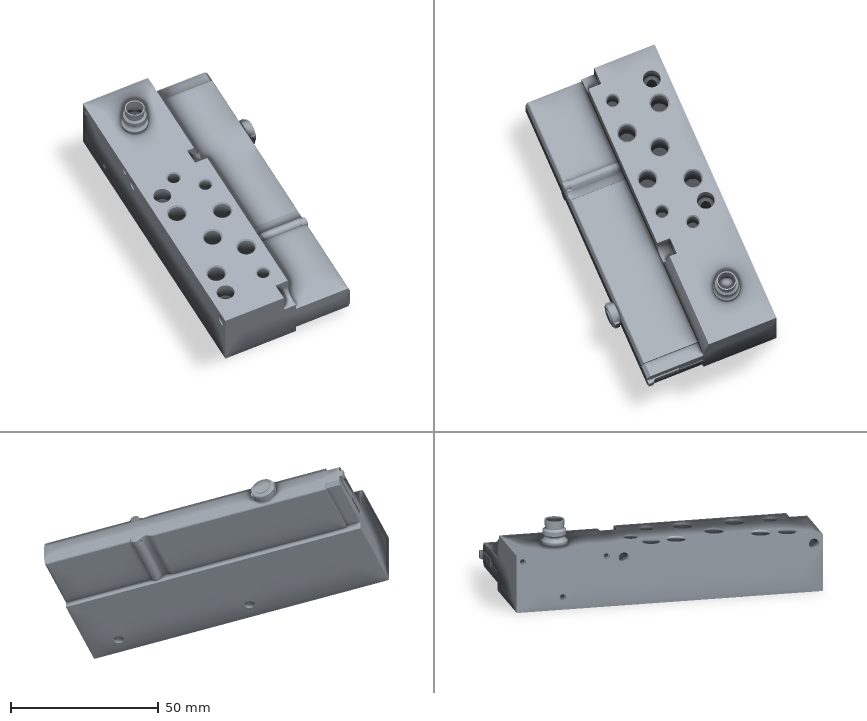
import cadquery as cq
import math


LENGTH = 107.1
DEPTH = 26.9
HEIGHT = 20.2

HOUSING_LENGTH = 34.5
HOUSING_FRONT = 6.0
HOUSING_TOP_EDGE = 24.8
HOUSING_CURVE_MIDDLE = (26.4, 15.4)
HOUSING_CURVE_BOTTOM = 10.5

PORT_CENTRE = 72.2
REAR_ROW = 21.0
MIDDLE_ROW = 12.8
FRONT_ROW = 6.7
SMALL_PORT_OFFSET = 21.7
REAR_PORT_OFFSET = 9.0
FRONT_PORT_OFFSET = 14.8
SMALL_PORT_X = 43.0
SMALL_PORT = {"bore": 4.1, "mouth": 5.0, "depth": 6.5}
LARGE_PORT = {"bore": 6.0, "mouth": 6.9, "depth": 8.7}

MOUNT_DIAMETER = 3.5
MOUNT_HEAD_DIAMETER = 6.1
MOUNT_OFFSET = 23.8
MOUNT_Y = 5.8
MOUNT_HEAD_DEPTH = 5.4
CROSS_HOLE_X = (37.4, 103.9)
CROSS_HOLE_Z = 17.0
CROSS_SLOT_DEPTH = 4.7

FASTENER_HEAD = 2.3
FASTENER_BORE = 1.5
FASTENER_HEAD_DEPTH = 0.9
FASTENER_POINTS = ((2.2, 17.9), (31.5, 17.9), (16.2, 4.5))

CONNECTOR_X = 16.1
CONNECTOR_Y = 11.6
CONNECTOR_FLANGE_TOP = 1.3
CONNECTOR_SHOULDER_TOP = 2.0
CONNECTOR_NECK_BOTTOM = 2.5
CONNECTOR_NECK_TOP = 2.8
CONNECTOR_COLLAR_BOTTOM = 3.5
CONNECTOR_COLLAR_TOP = 5.0
CONNECTOR_GROOVE_BOTTOM = 5.6
CONNECTOR_TIP_BOTTOM = 6.6
CONNECTOR_HEIGHT = 8.6
CONNECTOR_FLANGE_RADIUS = 4.6
CONNECTOR_SHOULDER_RADIUS = 3.8
CONNECTOR_NECK_RADIUS = 3.3
CONNECTOR_COLLAR_RADIUS = 4.0
CONNECTOR_TIP_RADIUS = 3.4
CONNECTOR_BORE = 6.0
CONNECTOR_BORE_DEPTH = 5.4

VALVE_MID_Z = 7.0
VALVE_BACK = 47.5
VALVE_HALF_HEIGHT = 5.0
VALVE_TOP_DEPTH = 46.5
VALVE_TOP_BEVEL = (0.3, 0.2)
VALVE_SHOULDER_HALF_HEIGHT = 3.0
VALVE_START = 5.0
CAP_HALF_HEIGHT = 4.2
CAP_CHAMFER = 1.2
END_BEVEL_LENGTH = 0.5
END_BEVEL_DROP = 0.2

GROOVE_RADIUS = 2.3
GROOVE_END_ANGLE = 33
RIDGE_RADIUS = 1.7
RIDGE_X = 74.0
RIDGE_RISE = 1.2
RIDGE_BACK = 45.1
FLANK_WIDTH = 1.0
FLANK_ANGLE = 46
RIDGE_HEAD_X = 74.3
RIDGE_HEAD_DIAMETER = 3.5
RIDGE_HEAD_BACK = 47.4
RIDGE_HEAD_ROUND = 0.4

SLIDE_HEIGHT = 2.7
SLIDE_FRONT = 36.0
SLIDE_THICKNESS = 0.4
GRIP_REACH = 1.4
GRIP_FRONT = 45.9
SLIDE_CLEARANCE = 0.3
TRACK_WIDTH = 1.3
TRACK_DEPTH = 0.5

KNOB_X = 26.8
KNOB_DIAMETER = 8.2
KNOB_LENGTH = 2.9
KNOB_CHAMFER = 0.3
KNOB_BOSS_DIAMETER = 5.3
KNOB_BOSS_LENGTH = 0.3
LUG_SPAN = 8.5
LUG_WIDTH = 4.1
LUG_START = 0.7
LUG_LENGTH = 1.7


def cylinder_z(diameter, x, y, bottom, length):
    return cq.Workplane("XY", origin=(x, y, bottom)).circle(diameter / 2).extrude(length)


def cylinder_y(diameter, x, z, front, length):
    return cq.Workplane("XZ", origin=(x, front, z)).circle(diameter / 2).extrude(-length)


def electronics_housing():
    """Electronics housing with a curved upper rear face."""
    return (
        cq.Workplane("YZ")
        .moveTo(HOUSING_FRONT, 0)
        .lineTo(DEPTH, 0)
        .lineTo(DEPTH, HOUSING_CURVE_BOTTOM)
        .threePointArc(HOUSING_CURVE_MIDDLE, (HOUSING_TOP_EDGE, HEIGHT))
        .lineTo(HOUSING_FRONT, HEIGHT)
        .close()
        .extrude(HOUSING_LENGTH)
    )


def port_cutter(x, y, bore, mouth, depth):
    """Blind port with a 45 degree countersink at its mouth."""
    sink = (mouth - bore) / 2
    profile = [(0, -depth), (bore / 2, -depth), (bore / 2, -sink), (mouth / 2, 0), (0, 0)]
    return (
        cq.Workplane("XZ", origin=(x, y, HEIGHT))
        .polyline(profile)
        .close()
        .revolve(360, (0, 0, 0), (0, 1, 0))
    )


def cut_ports(block):
    small_points = [(SMALL_PORT_X, MIDDLE_ROW)]
    large_points = [(PORT_CENTRE, MIDDLE_ROW)]
    for side in (-1, 1):
        small_points.append((PORT_CENTRE + side * SMALL_PORT_OFFSET, REAR_ROW))
        large_points.append((PORT_CENTRE + side * REAR_PORT_OFFSET, REAR_ROW))
        large_points.append((PORT_CENTRE + side * FRONT_PORT_OFFSET, FRONT_ROW))
    for x, y in small_points:
        block = block.cut(port_cutter(x, y, **SMALL_PORT))
    for x, y in large_points:
        block = block.cut(port_cutter(x, y, **LARGE_PORT))
    return block


def cut_vertical_mounts(block):
    for side in (-1, 1):
        x = PORT_CENTRE + side * MOUNT_OFFSET
        block = block.cut(cylinder_z(MOUNT_DIAMETER, x, MOUNT_Y, 0, HEIGHT))
        head_floor = HEIGHT - MOUNT_HEAD_DEPTH
        block = block.cut(cylinder_z(MOUNT_HEAD_DIAMETER, x, MOUNT_Y, head_floor, MOUNT_HEAD_DEPTH))
    return block


def rear_recess(profile):
    """Recess cutter from an open outline, reaching to the rear face of the manifold."""
    return profile.close().extrude(-CROSS_SLOT_DEPTH)


def cut_cross_mounts(block):
    """Horizontal through holes whose head recesses are open at the rear and the top."""
    slot_front = DEPTH - CROSS_SLOT_DEPTH
    radius = MOUNT_HEAD_DIAMETER / 2
    diagonal = radius * math.sqrt(0.5)
    rise = HEIGHT - CROSS_HOLE_Z
    left_x, right_x = CROSS_HOLE_X

    left_recess = rear_recess(
        cq.Workplane("XZ", origin=(left_x, slot_front, CROSS_HOLE_Z))
        .moveTo(-radius, rise)
        .lineTo(-radius, 0)
        .threePointArc((0, -radius), (radius, 0))
        .lineTo(radius, rise)
    )
    right_recess = rear_recess(
        cq.Workplane("XZ", origin=(right_x, slot_front, CROSS_HOLE_Z))
        .moveTo(-radius, rise)
        .lineTo(-radius, 0)
        .threePointArc((-diagonal, -diagonal), (0, -radius))
        .lineTo(LENGTH - right_x, -radius)
        .lineTo(LENGTH - right_x, rise)
    )
    block = block.cut(left_recess).cut(right_recess)
    for x in CROSS_HOLE_X:
        block = block.cut(cylinder_y(MOUNT_DIAMETER, x, CROSS_HOLE_Z, 0, DEPTH))
    return block


def cut_fastener_holes(block):
    for x, z in FASTENER_POINTS:
        block = block.cut(cylinder_y(FASTENER_HEAD, x, z, 0, FASTENER_HEAD_DEPTH))
        block = block.cut(cylinder_y(FASTENER_BORE, x, z, 0, HOUSING_FRONT))
    return block


def make_manifold():
    block = cq.Workplane("XY").box(LENGTH, DEPTH, HEIGHT, centered=False)
    pocket = cq.Workplane("XY").box(HOUSING_LENGTH, DEPTH - HOUSING_FRONT, HEIGHT, centered=False)
    block = block.cut(pocket.translate((0, HOUSING_FRONT, 0)))
    block = cut_ports(block)
    block = cut_vertical_mounts(block)
    block = cut_cross_mounts(block)
    return cut_fastener_holes(block)


def make_connector():
    """Turned connector with a flange, a grooved neck, a collar and a bored tip."""
    outline = [
        (0, 0),
        (CONNECTOR_FLANGE_RADIUS, 0),
        (CONNECTOR_FLANGE_RADIUS, CONNECTOR_FLANGE_TOP),
        (CONNECTOR_SHOULDER_RADIUS, CONNECTOR_SHOULDER_TOP),
        (CONNECTOR_NECK_RADIUS, CONNECTOR_NECK_BOTTOM),
        (CONNECTOR_NECK_RADIUS, CONNECTOR_NECK_TOP),
        (CONNECTOR_COLLAR_RADIUS, CONNECTOR_COLLAR_BOTTOM),
        (CONNECTOR_COLLAR_RADIUS, CONNECTOR_COLLAR_TOP),
        (CONNECTOR_NECK_RADIUS, CONNECTOR_GROOVE_BOTTOM),
        (CONNECTOR_NECK_RADIUS, CONNECTOR_TIP_BOTTOM),
        (CONNECTOR_TIP_RADIUS, CONNECTOR_TIP_BOTTOM),
        (CONNECTOR_TIP_RADIUS, CONNECTOR_HEIGHT),
        (0, CONNECTOR_HEIGHT),
    ]
    connector = (
        cq.Workplane("XZ", origin=(CONNECTOR_X, CONNECTOR_Y, HEIGHT))
        .polyline(outline)
        .close()
        .revolve(360, (0, 0, 0), (0, 1, 0))
    )
    bore_floor = HEIGHT + CONNECTOR_HEIGHT - CONNECTOR_BORE_DEPTH
    return connector.cut(
        cylinder_z(CONNECTOR_BORE, CONNECTOR_X, CONNECTOR_Y, bore_floor, CONNECTOR_BORE_DEPTH)
    )


def mirrored(upper):
    """The upper half of a valve feature joined with its mirror image."""
    return upper.union(upper.mirror("XY"))


def valve_core():
    """Upper half of the main valve body; its rear face leans towards the top."""
    outline = [
        (DEPTH, 0),
        (VALVE_BACK, 0),
        (VALVE_BACK, VALVE_SHOULDER_HALF_HEIGHT),
        (VALVE_TOP_DEPTH + VALVE_TOP_BEVEL[0], VALVE_HALF_HEIGHT - VALVE_TOP_BEVEL[1]),
        (VALVE_TOP_DEPTH, VALVE_HALF_HEIGHT),
        (DEPTH, VALVE_HALF_HEIGHT),
    ]
    core = (
        cq.Workplane("YZ", origin=(VALVE_START, 0, 0))
        .polyline(outline)
        .close()
        .extrude(LENGTH - VALVE_START)
    )
    bevel = (
        cq.Workplane("XZ", origin=(0, DEPTH, VALVE_HALF_HEIGHT))
        .polyline([(LENGTH - END_BEVEL_LENGTH, 0), (LENGTH, 0), (LENGTH, -END_BEVEL_DROP)])
        .close()
        .extrude(DEPTH - VALVE_BACK)
    )
    return core.cut(bevel)


def valve_cap():
    """Upper half of the lower left end of the valve."""
    outline = [
        (DEPTH, 0),
        (VALVE_BACK, 0),
        (VALVE_BACK, CAP_HALF_HEIGHT - CAP_CHAMFER),
        (VALVE_BACK - CAP_CHAMFER, CAP_HALF_HEIGHT),
        (DEPTH, CAP_HALF_HEIGHT),
    ]
    return cq.Workplane("YZ").polyline(outline).close().extrude(VALVE_START)


def add_groove_and_ridge(body):
    """Rounded groove that runs up a straight flank into a rounded ridge."""
    flank_angle = math.radians(FLANK_ANGLE)
    groove_end = math.radians(GROOVE_END_ANGLE)
    flank_slope = math.tan(flank_angle)
    ridge_z = VALVE_HALF_HEIGHT + RIDGE_RISE - RIDGE_RADIUS
    flank_top = (
        RIDGE_X - RIDGE_RADIUS * math.sin(flank_angle),
        ridge_z + RIDGE_RADIUS * math.cos(flank_angle),
    )
    flank_bottom = (flank_top[0] - FLANK_WIDTH, flank_top[1] - FLANK_WIDTH * flank_slope)
    groove_x = flank_bottom[0] - GROOVE_RADIUS * math.sin(groove_end)
    groove_z = flank_bottom[1] + GROOVE_RADIUS * math.cos(groove_end)
    groove_half_width = math.sqrt(GROOVE_RADIUS**2 - (groove_z - VALVE_HALF_HEIGHT) ** 2)
    groove_edge = groove_x - groove_half_width
    flank_at_top = flank_bottom[0] + (VALVE_HALF_HEIGHT - flank_bottom[1]) / flank_slope

    groove = (
        cq.Workplane("XZ", origin=(0, DEPTH, 0))
        .moveTo(groove_edge, VALVE_HALF_HEIGHT)
        .threePointArc((groove_x, groove_z - GROOVE_RADIUS), flank_bottom)
        .lineTo(flank_at_top, VALVE_HALF_HEIGHT)
        .close()
        .extrude(DEPTH - VALVE_BACK)
    )
    bevel = (
        cq.Workplane("XZ", origin=(0, DEPTH, VALVE_HALF_HEIGHT))
        .polyline([(groove_edge - END_BEVEL_LENGTH, 0), (groove_edge, 0), (groove_edge, -END_BEVEL_DROP)])
        .close()
        .extrude(DEPTH - VALVE_BACK)
    )
    ridge_half_width = math.sqrt(RIDGE_RADIUS**2 - (VALVE_HALF_HEIGHT - ridge_z) ** 2)
    ridge = (
        cq.Workplane("XZ", origin=(0, DEPTH, 0))
        .moveTo(flank_at_top, VALVE_HALF_HEIGHT)
        .lineTo(*flank_top)
        .threePointArc((RIDGE_X, ridge_z + RIDGE_RADIUS), (RIDGE_X + ridge_half_width, VALVE_HALF_HEIGHT))
        .close()
        .extrude(DEPTH - RIDGE_BACK)
    )
    head = cylinder_y(RIDGE_HEAD_DIAMETER, RIDGE_HEAD_X, ridge_z, RIDGE_BACK, RIDGE_HEAD_BACK - RIDGE_BACK)
    head = head.faces(">Y").edges().fillet(RIDGE_HEAD_ROUND)
    return body.cut(groove).cut(bevel).union(ridge).union(head)


def cut_slide_track(body):
    """Recess that holds the slide, continued as a narrow track to the front."""
    recess_front = SLIDE_FRONT - SLIDE_CLEARANCE
    recess = cq.Workplane("XY").box(
        TRACK_DEPTH, VALVE_BACK - recess_front, SLIDE_HEIGHT, centered=(False, False, True)
    )
    track = cq.Workplane("XY").box(
        TRACK_DEPTH, recess_front - DEPTH, TRACK_WIDTH, centered=(False, False, True)
    )
    return body.cut(recess.translate((0, recess_front, 0))).cut(track.translate((0, DEPTH, 0)))


def make_valve_body():
    """Valve body with the electronics housing in front of it, as one solid."""
    upper = add_groove_and_ridge(valve_core()).union(valve_cap())
    valve = cut_slide_track(mirrored(upper)).translate((0, 0, VALVE_MID_Z))
    return electronics_housing().union(valve)


def make_slide():
    """Slide with a wedge-shaped grip that stands out from the left end."""
    outline = [
        (TRACK_DEPTH, SLIDE_FRONT),
        (-SLIDE_THICKNESS, SLIDE_FRONT),
        (-SLIDE_THICKNESS, GRIP_FRONT - (GRIP_REACH - SLIDE_THICKNESS)),
        (-GRIP_REACH, GRIP_FRONT),
        (-GRIP_REACH, VALVE_BACK),
        (TRACK_DEPTH, VALVE_BACK),
    ]
    return (
        cq.Workplane("XY", origin=(0, 0, VALVE_MID_Z - SLIDE_HEIGHT / 2))
        .polyline(outline)
        .close()
        .extrude(SLIDE_HEIGHT)
    )


def make_knob():
    """Round knob with a raised end face and two side lugs."""
    knob = cylinder_y(KNOB_DIAMETER, KNOB_X, VALVE_MID_Z, VALVE_BACK, KNOB_LENGTH)
    knob = knob.faces(">Y").edges().chamfer(KNOB_CHAMFER)
    boss_front = VALVE_BACK + KNOB_LENGTH
    boss = cylinder_y(KNOB_BOSS_DIAMETER, KNOB_X, VALVE_MID_Z, boss_front, KNOB_BOSS_LENGTH)
    lugs = cq.Workplane("XY").box(LUG_SPAN, LUG_LENGTH, LUG_WIDTH, centered=(True, False, True))
    lugs = lugs.translate((KNOB_X, VALVE_BACK + LUG_START, VALVE_MID_Z))
    return knob.union(boss).union(lugs)


manifold = make_manifold()
valve_body = make_valve_body()
connector = make_connector()
slide = make_slide()
knob = make_knob()

result = cq.Compound.makeCompound(
    [body.solids().val() for body in (manifold, valve_body, connector, slide, knob)]
)